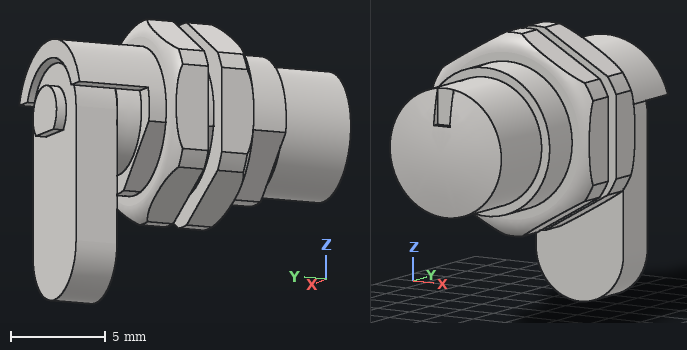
import cadquery as cq
import math


housing_length = 12.0
housing_radius = 4.0
bore_radius = 3.0
flat_distance = 3.3
flat_direction = 225
notch_length = 4.0
notch_top = 1.1
notch_start = housing_length - notch_length

across_flats = 10.0
nut_thickness = 2.0
nut_corner_radius = 5.5
nut_face_radius = 4.51
nut_rounding_depth = 0.5
nut_rounding_mid_depth = 0.12
front_nut_face = 2.23
rear_nut_face = 7.0

knob_radius = 3.5
knob_length = 4.0
dome_height = 0.49
pointer_width = 1.0
pointer_length = 2.0

cam_radius = 2.75
cam_thickness = 2.4
cam_inset = 0.3
cam_reach = 10.0
cam_rear = housing_length - cam_inset
cam_front = cam_rear - cam_thickness
cam_tip_z = cam_radius - cam_reach

core_end_radius = 2.8
spindle_radius = 1.51
spindle_flat = 1.02
spindle_projection = 0.27
spindle_end = housing_length + spindle_projection


def cylinder(radius, start, end):
    """Solid cylinder on the lock axis between two Y positions."""
    return cq.Workplane("XZ", origin=(0, start, 0)).circle(radius).extrude(start - end)


def block(width, start, end, bottom, top):
    """Box centred on X, between two Y positions and two heights."""
    box = cq.Workplane("XY").box(width, end - start, top - bottom, centered=(True, False, False))
    return box.translate((0, start, bottom))


def revolve_about_axis(profile):
    """Turn a closed profile drawn in the XY plane about the lock axis."""
    return profile.close().revolve(360, (0, 0, 0), (0, 1, 0))


def make_housing():
    tube = cylinder(housing_radius, 0, housing_length).cut(cylinder(bore_radius, 0, housing_length))
    flat_depth = housing_radius - flat_distance
    flat_cutter = (
        cq.Workplane("XY")
        .box(flat_depth, housing_length, 2 * housing_radius, centered=(False, False, True))
        .translate((flat_distance, 0, 0))
        .rotate((0, 0, 0), (0, 1, 0), -flat_direction)
    )
    notch = block(2 * housing_radius, notch_start, housing_length, -housing_radius, notch_top)
    return tube.cut(flat_cutter).cut(notch)


def make_nut(rounded_face, direction):
    """Hexagon nut that runs from its rounded face along Y in the given direction (+1 or -1)."""
    plain_face = rounded_face + direction * nut_thickness
    hexagon = (
        cq.Workplane("XZ", origin=(0, rounded_face, 0))
        .polygon(6, across_flats / math.cos(math.pi / 6))
        .extrude(-direction * nut_thickness)
        .rotate((0, 0, 0), (0, 1, 0), 30)
    )
    envelope = revolve_about_axis(
        cq.Workplane("XY")
        .moveTo(0, rounded_face)
        .lineTo(nut_face_radius, rounded_face)
        .threePointArc(
            ((nut_face_radius + nut_corner_radius) / 2, rounded_face + direction * nut_rounding_mid_depth),
            (nut_corner_radius, rounded_face + direction * nut_rounding_depth),
        )
        .lineTo(nut_corner_radius, plain_face)
        .lineTo(0, plain_face)
    )
    return hexagon.intersect(envelope).cut(cylinder(housing_radius, rounded_face, plain_face))


def make_knob():
    dome_base = -knob_length
    dome_tip = dome_base - dome_height
    sphere_radius = (knob_radius**2 + dome_height**2) / (2 * dome_height)
    half_radius = knob_radius / 2
    half_y = dome_tip + sphere_radius - math.sqrt(sphere_radius**2 - half_radius**2)
    knob = revolve_about_axis(
        cq.Workplane("XY")
        .lineTo(knob_radius, 0)
        .lineTo(knob_radius, dome_base)
        .threePointArc((half_radius, half_y), (0, dome_tip))
    )
    pointer = block(pointer_width, dome_tip, dome_base, knob_radius - pointer_length, knob_radius)
    return knob.cut(pointer)


def make_spindle(start, end):
    """D-shaped spindle with its flat at the bottom."""
    keep = block(2 * spindle_radius, start, end, -spindle_flat, spindle_radius)
    return cylinder(spindle_radius, start, end).intersect(keep)


def make_core():
    barrel = revolve_about_axis(
        cq.Workplane("XY")
        .lineTo(bore_radius, 0)
        .lineTo(bore_radius, notch_start)
        .lineTo(core_end_radius, cam_front)
        .lineTo(0, cam_front)
    )
    return barrel.union(make_spindle(cam_front, spindle_end))


def make_cam():
    upper_end = cylinder(cam_radius, cam_front, cam_rear)
    lower_end = upper_end.translate((0, 0, cam_tip_z))
    arm = block(2 * cam_radius, cam_front, cam_rear, cam_tip_z, 0)
    return arm.union(upper_end).union(lower_end).cut(make_spindle(cam_front, cam_rear))


housing = make_housing()
knob = make_knob()
core = make_core()
cam = make_cam()
nuts = [make_nut(face, direction) for face, direction in ((front_nut_face, 1), (rear_nut_face, -1))]

result = cq.Compound.makeCompound(
    [housing.val(), knob.val(), core.val(), cam.val(), *[nut.val() for nut in nuts]]
)